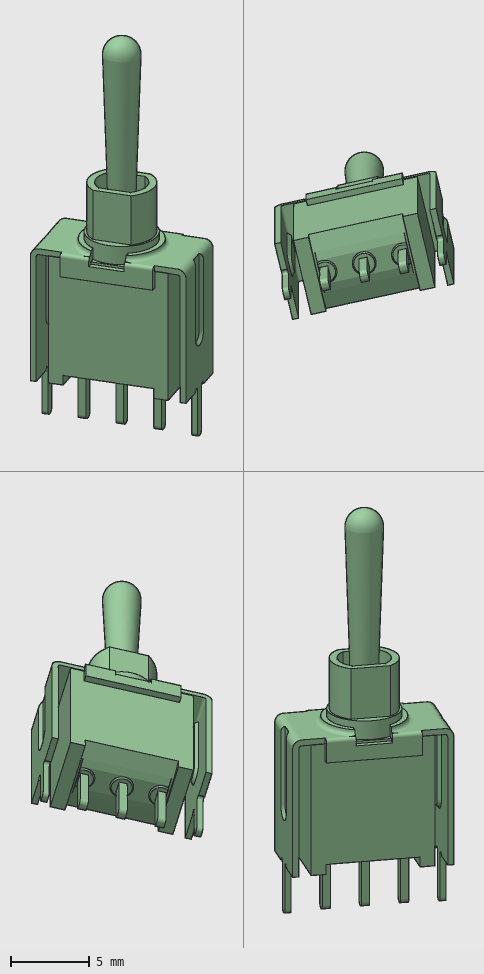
import cadquery as cq
import math


total_height = 27
bracket_width = 10.55
bracket_depth = 5.83
foot_bottom_z = -3.3
lever_top_z = total_height + foot_bottom_z

sheet = 0.4
bracket_top_z = 9.3
leg_plate_depth = 5.13
leg_bend_radius = 0.6
flap_length = 6.3
flap_bottom_z = 7.72
flap_bend_radius = 0.25
prong_width = 0.75
prong_corner_radius = 0.3
relief_radius = 0.2

collar_top_radius = 2.78
collar_top_z = 9.67
collar_fillet = 0.32

notch_width = 2.38
notch_floor_z = 8.72

groove_width = 1.5
groove_bottom_z = 3.0
groove_press = 0.22
groove_wall_run = 0.25

housing_width = 8.1
housing_depth = bracket_depth - 2 * sheet
housing_height = bracket_top_z - sheet
pocket_length = 6.15
pocket_height = 0.68

flange_diameter = 4.8
flange_top_z = 10.15
barrel_radius = 2.25
barrel_flats = 3.67
bushing_top_z = 13.58
bore_radius = 1.73
bore_flats = 2.7

tip_radius = 1.25
neck_radius = 0.95
ball_radius = 1.6

pin_pitch = 2.56
pin_thickness = 0.55
pin_bottom_z = -3.2

slope_bottom_z = 0.32
slope_bottom_depth = 2.7
mound_length = 5.83
mound_bottom_depth = 1.62
mound_bottom_z = 0.2
creep_base_radius = 0.86
creep_end_radius = 0.68
creep_end_z = 0.08


def box_between(width, depth, bottom_z, top_z):
    """Box centred on the lever axis."""
    return (cq.Workplane("XY").workplane(offset=bottom_z)
            .rect(width, depth).extrude(top_z - bottom_z))


def flatted_cylinder(radius, across_flats, bottom_z, top_z):
    """Cylinder on the lever axis with two flats facing -Y and +Y."""
    cylinder = cq.Workplane("XY").workplane(offset=bottom_z).circle(radius).extrude(top_z - bottom_z)
    return cylinder.intersect(box_between(2 * radius, across_flats, bottom_z, top_z))


def rounded_prong(thickness, bottom_z, top_z):
    """Flat contact on the lever axis, with both lower corners rounded in the YZ plane."""
    prong = box_between(thickness, prong_width, bottom_z, top_z)
    return prong.edges("|X and <Z").fillet(prong_corner_radius)


def pressed_slot(start_x):
    """Tapered round-ended slot that starts at start_x and narrows towards +X."""
    half = groove_width / 2
    slot_top_z = housing_height + leg_bend_radius
    taper = math.degrees(math.atan2(groove_wall_run, groove_press))
    return (cq.Workplane("YZ").workplane(offset=start_x)
            .moveTo(-half, slot_top_z)
            .lineTo(-half, groove_bottom_z + half)
            .threePointArc((0, groove_bottom_z), (half, groove_bottom_z + half))
            .lineTo(half, slot_top_z).close()
            .extrude(groove_press, taper=taper))


def make_channel():
    """Top sheet with the two legs folded down."""
    channel = box_between(bracket_width, leg_plate_depth, 0, bracket_top_z)
    channel = channel.edges("|Y and >Z").fillet(leg_bend_radius)
    inside = box_between(bracket_width - 2 * sheet, leg_plate_depth, 0, housing_height)
    inside = inside.edges("|Y and >Z").fillet(leg_bend_radius - sheet)
    return channel.cut(inside)


def finish_left_leg(channel):
    """Press the groove and add the foot on the -X leg."""
    outer_x = -bracket_width / 2
    below_top = box_between(bracket_width, groove_width, 0, bracket_top_z - sheet / 2)
    bulge = pressed_slot(outer_x + sheet).intersect(below_top)
    channel = channel.union(bulge).cut(pressed_slot(outer_x))

    leg_middle_x = outer_x + sheet / 2
    reliefs = (cq.Workplane("YZ").workplane(offset=outer_x)
               .pushPoints([(side * (prong_width / 2 + relief_radius), 0) for side in (-1, 1)])
               .circle(relief_radius).extrude(sheet))
    foot = rounded_prong(sheet, foot_bottom_z, relief_radius).translate((leg_middle_x, 0, 0))
    return channel.cut(reliefs).union(foot)


def make_flaps():
    """Short flaps folded down over the front and back of the housing."""
    flaps = box_between(flap_length, bracket_depth, flap_bottom_z, bracket_top_z)
    flaps = flaps.edges("|X and >Z").fillet(flap_bend_radius)
    return flaps.cut(box_between(flap_length, housing_depth, flap_bottom_z, housing_height))


def make_collar():
    """Raised ring with a concave foot, cut off where the flaps start to bend."""
    foot_radius = collar_top_radius + collar_fillet
    fillet_mid = collar_fillet * (1 - math.sqrt(0.5))
    collar = (cq.Workplane("XZ").moveTo(0, housing_height)
              .lineTo(foot_radius, housing_height)
              .lineTo(foot_radius, bracket_top_z)
              .threePointArc((collar_top_radius + fillet_mid, bracket_top_z + fillet_mid),
                             (collar_top_radius, bracket_top_z + collar_fillet))
              .lineTo(collar_top_radius, collar_top_z)
              .lineTo(0, collar_top_z).close()
              .revolve(360, (0, 0, 0), (0, 1, 0)))
    flat_depth = bracket_depth - 2 * flap_bend_radius
    return collar.intersect(box_between(2 * foot_radius, flat_depth, housing_height, collar_top_z))


def make_bracket():
    """Folded sheet that straddles the housing, mirrored about the YZ plane."""
    left_half = finish_left_leg(make_channel()).intersect(
        box_between(bracket_width, bracket_depth, foot_bottom_z, bracket_top_z)
        .translate((-bracket_width / 2, 0, 0)))
    bracket = left_half.union(left_half.mirror("YZ"))
    bracket = bracket.union(make_flaps()).union(make_collar())
    flange_hole = (cq.Workplane("XY").workplane(offset=housing_height)
                   .circle(flange_diameter / 2).extrude(collar_top_z - housing_height))
    notch = box_between(notch_width, bracket_depth, notch_floor_z, collar_top_z)
    return bracket.cut(flange_hole).cut(notch)


def make_pocket():
    """Space under the housing, open to the front and back, that holds the potting."""
    return box_between(pocket_length, housing_depth, 0, pocket_height)


def make_housing():
    """Plain block with the potting pocket underneath."""
    return box_between(housing_width, housing_depth, 0, housing_height).cut(make_pocket())


def make_bushing():
    """Flanged sleeve that stands on the housing, flatted inside and out."""
    flange = (cq.Workplane("XY").workplane(offset=housing_height)
              .circle(flange_diameter / 2).extrude(flange_top_z - housing_height))
    barrel = flatted_cylinder(barrel_radius, barrel_flats, flange_top_z, bushing_top_z)
    bore = flatted_cylinder(bore_radius, bore_flats, housing_height, bushing_top_z)
    return flange.union(barrel).cut(bore)


def make_lever():
    """Tapered bat with a domed tip, on a pivot ball that is flatted to suit the bore."""
    tip_centre_z = lever_top_z - tip_radius
    ball_centre_z = housing_height + ball_radius
    slope = (tip_radius - neck_radius) / (tip_centre_z - bushing_top_z)
    root_radius = neck_radius - slope * (bushing_top_z - ball_centre_z)
    diagonal = tip_radius * math.sqrt(0.5)
    bat = (cq.Workplane("XZ").moveTo(0, ball_centre_z)
           .lineTo(root_radius, ball_centre_z)
           .lineTo(tip_radius, tip_centre_z)
           .threePointArc((diagonal, tip_centre_z + diagonal), (0, lever_top_z))
           .close().revolve(360, (0, 0, 0), (0, 1, 0)))
    ball = cq.Workplane("XY").sphere(ball_radius).translate((0, 0, ball_centre_z))
    ball_flats = box_between(2 * ball_radius, bore_flats, housing_height, ball_centre_z + ball_radius)
    return bat.union(ball.intersect(ball_flats))


def sloped_bar(length, top_depth, top_z, bottom_depth, bottom_z):
    """Bar along X that narrows in Y towards its underside."""
    return (cq.Workplane("YZ")
            .moveTo(-top_depth / 2, top_z)
            .lineTo(-bottom_depth / 2, bottom_z)
            .lineTo(bottom_depth / 2, bottom_z)
            .lineTo(top_depth / 2, top_z).close()
            .extrude(length / 2, both=True))


def make_potting():
    """Bead that fills the pocket, with sloping sides and a low mound along its middle."""
    bead = sloped_bar(pocket_length, housing_depth, pocket_height, slope_bottom_depth, slope_bottom_z)
    mound = sloped_bar(mound_length, slope_bottom_depth, slope_bottom_z, mound_bottom_depth, mound_bottom_z)
    return bead.union(mound)


def make_creep():
    """Cone of potting on a pin, widest where it leaves the bead."""
    return (cq.Workplane("XZ").moveTo(0, creep_end_z)
            .lineTo(creep_end_radius, creep_end_z)
            .lineTo(creep_base_radius, slope_bottom_z)
            .lineTo(0, slope_bottom_z).close()
            .revolve(360, (0, 0, 0), (0, 1, 0)))


def make_terminals():
    """Three pins held together by the potting."""
    terminals = make_potting()
    creep = make_creep()
    creep_limit = box_between(mound_length, slope_bottom_depth, 0, slope_bottom_z)
    pin = rounded_prong(pin_thickness, pin_bottom_z, pocket_height)
    for place in (-1, 0, 1):
        shift = (place * pin_pitch, 0, 0)
        terminals = terminals.union(creep.translate(shift).intersect(creep_limit))
        terminals = terminals.union(pin.translate(shift))
    return terminals


bracket = make_bracket()
housing = make_housing()
bushing = make_bushing()
lever = make_lever()
terminals = make_terminals()

bodies = [bracket, housing, bushing, lever, terminals]
result = cq.Compound.makeCompound([body.solids().val() for body in bodies])